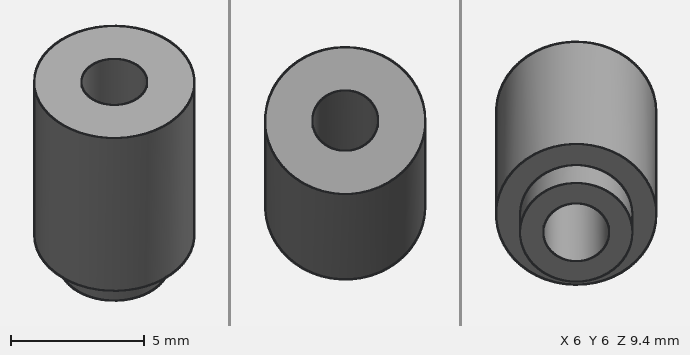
import cadquery as cq

total_height = 9.4
body_diameter = 6.0
spigot_diameter = 4.2
spigot_height = 1.4
bore_diameter = 2.46

body_height = total_height - spigot_height

spigot = cq.Workplane("XY").circle(spigot_diameter / 2).extrude(spigot_height)

spacer = spigot.faces(">Z").workplane().circle(body_diameter / 2).extrude(body_height)

result = spacer.faces(">Z").workplane().circle(bore_diameter / 2).cutThruAll()